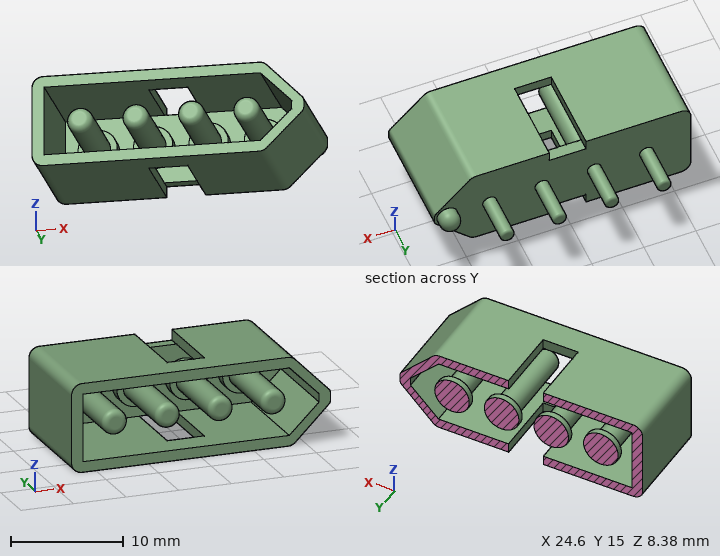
import cadquery as cq

length = 24.65
depth = 10.67
height = 8.38
corner_radius = 1.0
shoulder_x = 21.0
tip_half_height = 0.55
tip_radius = 0.6

side_wall = 1.0
end_wall = 1.1
floor_thickness = 1.13
cavity_shoulder_x = 20.7
cavity_tip_half_height = 0.4

contact_count = 4
pitch = 5.03
first_contact_x = 4.26
collar_radius = 1.77
collar_height = 1.13
pin_radius = 1.15
pin_rounding = 0.57
pin_recess = 0.1
tail_radius = 0.67
tail_length = 4.3
tail_rounding = 0.27

slot_start_x = 10.08
slot_width = 3.52
slot_length = 8.08

peg_x = 23.43
peg_radius = 0.99
peg_straight = 0.62


def pointed_prism(left, right, shoulder, half_height, tip_half, prism_depth):
    """Pointed outline extruded from Y = 0 toward +Y."""
    outline = [
        (left, -half_height),
        (shoulder, -half_height),
        (right, -tip_half),
        (right, tip_half),
        (shoulder, half_height),
        (left, half_height),
    ]
    return cq.Workplane("XZ").polyline(outline).close().extrude(-prism_depth)


def cylinder(x, start_y, end_y, radius):
    """Round bar along Y on the middle plane of the shell."""
    plane = cq.Workplane("XZ", origin=(x, start_y, 0))
    return plane.circle(radius).extrude(start_y - end_y)


def make_shell():
    body = pointed_prism(0, length, shoulder_x, height / 2, tip_half_height, depth)
    long_corners = cq.selectors.BoxSelector(
        (-0.25, 0, -height), ((shoulder_x + length) / 2, depth, height)
    )
    tip_corners = cq.selectors.BoxSelector(
        ((shoulder_x + length) / 2, 0, -height), (length + 0.25, depth, height)
    )
    body = body.edges("|Y").edges(long_corners).fillet(corner_radius)
    body = body.edges("|Y").edges(tip_corners).fillet(tip_radius)
    cavity = pointed_prism(
        end_wall,
        length - end_wall,
        cavity_shoulder_x,
        height / 2 - side_wall,
        cavity_tip_half_height,
        depth - floor_thickness,
    )
    return body.cut(cavity)


def make_slot(bottom_z):
    """Wall-deep cutter, open at the back face."""
    return cq.Workplane("XY").box(
        slot_width, slot_length, side_wall, centered=False
    ).translate((slot_start_x, depth - slot_length, bottom_z))


def make_contact(x):
    floor_y = depth - floor_thickness
    collar = cylinder(x, floor_y - collar_height, depth, collar_radius)
    pin = cylinder(x, pin_recess, depth, pin_radius).faces("<Y").edges().fillet(pin_rounding)
    tail = cylinder(x, floor_y, depth + tail_length, tail_radius)
    tail = tail.faces(">Y").edges().fillet(tail_rounding)
    return collar.union(pin).union(tail)


def make_peg():
    dome_y = depth + peg_straight
    shank = cylinder(peg_x, depth - floor_thickness / 2, dome_y, peg_radius)
    dome = cq.Workplane("XY").sphere(peg_radius).translate((peg_x, dome_y, 0))
    outside = cq.Workplane("XY").box(2 * peg_radius, peg_radius, 2 * peg_radius)
    outside = outside.translate((peg_x, dome_y + peg_radius / 2, 0))
    return shank.union(dome.intersect(outside))


result = make_shell()
for slot_bottom in (height / 2 - side_wall, -height / 2):
    result = result.cut(make_slot(slot_bottom))
for contact in range(contact_count):
    result = result.union(make_contact(first_contact_x + contact * pitch))
result = result.union(make_peg())